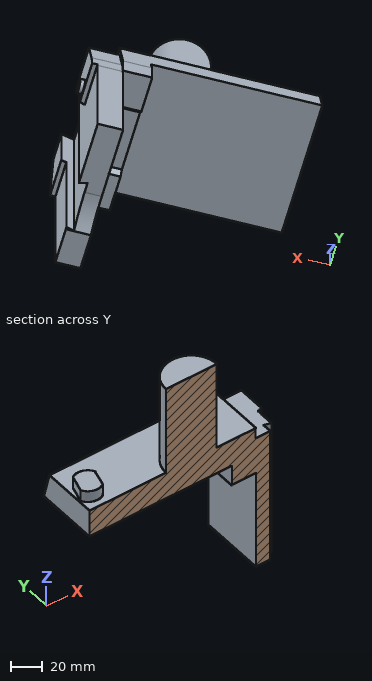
import cadquery as cq
import math


body_width = 100.0
half_width = body_width / 2
side_taper = math.tan(math.radians(15))

plate_left = -80.0
plate_right = 50.5
plate_thickness = 22.0
step_length = 19.0
step_bottom = -42.0
plate_taper_end = -29.86
plate_half_top = half_width + plate_taper_end * side_taper

channel_depth = 4.0
channel_mouth = 49.0
channel_floor = 43.0

post_diameter = 40.0
post_radius = post_diameter / 2
post_height = 70.0
post_flat_distance = 17.0
post_flat_angle = -60.0
post_flat_base = 13.0

key_x = -70.0
key_y = 15.0
key_diameter = 20.0
key_across_flats = 15.0
key_turn = 15.0
key_height = 9.0

blade_thickness = 16.5
blade_bottom = -123.5
blade_raised_bottom = -116.5
head_thickness = 20.0
head_top = -8.4
head_taper_end = -31.7
head_shoulder = -43.1
head_bottom = -41.5
head_half_top = 41.8
head_half_middle = head_half_top + (head_top - head_taper_end) * side_taper
blade_face = plate_right + blade_thickness
head_face = plate_right + head_thickness

lower_arc_end = -25.0
lower_arc_drop = blade_raised_bottom - blade_bottom
lower_arc_radius = (lower_arc_end**2 + lower_arc_drop**2) / (2 * lower_arc_drop)

slot_floor = 61.7
slot_mouth_upper = 20.6
slot_ledge_upper = 19.5
slot_ledge_lower = 5.4
slot_floor_upper = 6.8
slot_floor_lower = -24.9
slot_mouth_lower = -23.1

pin_diameter = 9.3
pin_length = 3.0
pin_y = 28.2
pin_z = -35.4


def make_plate():
    side = (
        cq.Workplane("XZ")
        .moveTo(plate_left, 0)
        .lineTo(plate_right, 0)
        .lineTo(plate_right, step_bottom)
        .lineTo(plate_right - step_length, step_bottom)
        .lineTo(plate_right - step_length, -plate_thickness)
        .lineTo(plate_left, -plate_thickness)
        .close()
        .extrude(half_width, both=True)
    )
    channel_top = step_bottom + channel_depth
    end = (
        cq.Workplane("YZ", origin=(plate_left, 0, 0))
        .moveTo(-plate_half_top, 0)
        .lineTo(plate_half_top, 0)
        .lineTo(half_width, plate_taper_end)
        .lineTo(half_width, step_bottom)
        .lineTo(channel_mouth / 2, step_bottom)
        .lineTo(channel_floor / 2, channel_top)
        .lineTo(-channel_floor / 2, channel_top)
        .lineTo(-channel_mouth / 2, step_bottom)
        .lineTo(-half_width, step_bottom)
        .lineTo(-half_width, plate_taper_end)
        .close()
        .extrude(plate_right - plate_left)
    )
    return side.intersect(end)


def make_post():
    post = cq.Workplane("XY").circle(post_radius).extrude(post_height)
    overrun = post_radius
    cutter_outer = post_flat_distance + overrun
    cutter = (
        cq.Workplane("XZ")
        .moveTo(post_flat_distance, post_flat_base)
        .lineTo(post_flat_distance, post_height)
        .lineTo(cutter_outer, post_height)
        .lineTo(cutter_outer, post_flat_base - overrun)
        .close()
        .extrude(post_radius, both=True)
        .rotate((0, 0, 0), (0, 0, 1), post_flat_angle)
    )
    return post.cut(cutter)


def make_key():
    disc = cq.Workplane("XY").circle(key_diameter / 2).extrude(key_height)
    flats = (
        cq.Workplane("XY")
        .rect(key_across_flats, key_diameter)
        .extrude(key_height)
        .rotate((0, 0, 0), (0, 0, 1), -key_turn)
    )
    return disc.intersect(flats).translate((key_x, key_y, 0))


def make_blade():
    arc_middle_y = lower_arc_end / 2
    arc_middle_drop = lower_arc_radius - math.sqrt(lower_arc_radius**2 - arc_middle_y**2)
    blade = (
        cq.Workplane("YZ", origin=(plate_right, 0, 0))
        .moveTo(-head_half_top, head_top)
        .lineTo(head_half_top, head_top)
        .lineTo(head_half_middle, head_taper_end)
        .lineTo(half_width, head_shoulder)
        .lineTo(half_width, blade_raised_bottom)
        .lineTo(0, blade_raised_bottom)
        .threePointArc(
            (arc_middle_y, blade_raised_bottom - arc_middle_drop),
            (lower_arc_end, blade_bottom),
        )
        .lineTo(-half_width, blade_bottom)
        .lineTo(-half_width, head_shoulder)
        .lineTo(-head_half_middle, head_taper_end)
        .close()
        .extrude(head_thickness)
    )
    relief = cq.Workplane("XY").box(
        head_thickness - blade_thickness,
        body_width,
        head_bottom - blade_bottom,
        centered=(False, True, False),
    )
    return blade.cut(relief.translate((blade_face, 0, blade_bottom)))


def make_slot():
    return (
        cq.Workplane("XY", origin=(0, 0, blade_bottom))
        .moveTo(head_face, slot_mouth_upper)
        .lineTo(blade_face, slot_ledge_upper)
        .lineTo(blade_face, slot_ledge_lower)
        .lineTo(slot_floor, slot_floor_upper)
        .lineTo(slot_floor, slot_floor_lower)
        .lineTo(head_face, slot_mouth_lower)
        .close()
        .extrude(head_top - blade_bottom)
    )


def make_pin():
    return (
        cq.Workplane("YZ", origin=(head_face, pin_y, pin_z))
        .circle(pin_diameter / 2)
        .extrude(pin_length)
    )


blade = make_blade().cut(make_slot())
result = make_plate().union(blade).union(make_post()).union(make_key()).union(make_pin())